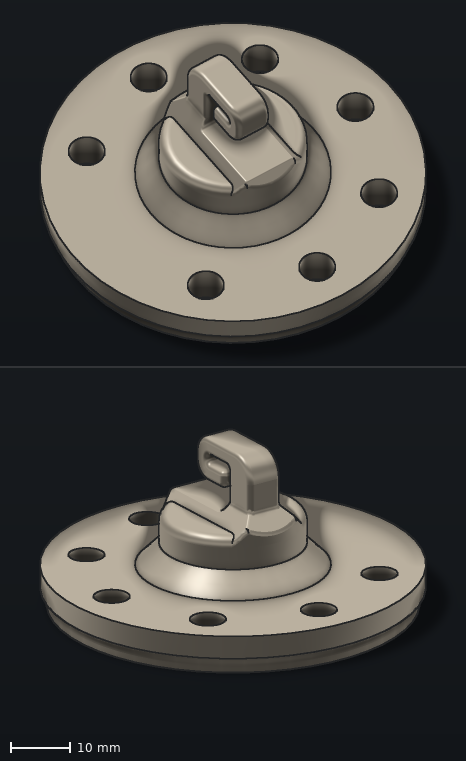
import cadquery as cq
import math

total_height = 29.7

flange_radius = 32.5
flange_thickness = 4.0

spigot_radius = 31.45
spigot_height = 3.0
spigot_blend_radius = 2.0

hole_radius = 3.05
hole_circle_radius = 25.0
hole_positions = 8
undrilled_angle = 270

cap_radius = 12.5
foot_height = 4.0
cap_height = 5.9
cap_edge_radius = 2.0

roof_half_length = 12.35
roof_half_width = 6.25
roof_flat_rise = 1.55
roof_rim_radius = 1.0
roof_edge_radius = 0.5

hook_width = 6.5
hook_left = -9.4
hook_right = 6.4
hook_tip = -1.7
post_thickness = 6.25
bar_thickness = 3.1
slot_height = 1.6
hook_shoulder_radius = 4.7
hook_throat_radius = 1.0
hook_edge_radius = 1.0
post_foot_radius = 1.0

zone_margin = 0.05

flange_top = spigot_height + flange_thickness
foot_top = flange_top + foot_height
cap_top = foot_top + cap_height
roof_base = cap_top - cap_edge_radius
roof_flat = cap_top + roof_flat_rise
post_right = hook_left + post_thickness


def make_base():
    """Revolved spigot, flange, conical foot and round-edged cap."""
    overhang = flange_radius - spigot_radius
    sweep = math.acos(1 - overhang / spigot_blend_radius)
    blend_start = spigot_height - spigot_blend_radius * math.sin(sweep)
    blend_middle = (
        spigot_radius + spigot_blend_radius * (1 - math.cos(sweep / 2)),
        blend_start + spigot_blend_radius * math.sin(sweep / 2),
    )
    profile = (
        cq.Workplane("XZ")
        .lineTo(spigot_radius, 0)
        .lineTo(spigot_radius, blend_start)
        .threePointArc(blend_middle, (flange_radius, spigot_height))
        .lineTo(flange_radius, flange_top)
        .lineTo(cap_radius + foot_height, flange_top)
        .lineTo(cap_radius, foot_top)
        .lineTo(cap_radius, cap_top)
        .lineTo(0, cap_top)
        .close()
    )
    base = profile.revolve(360, (0, 0), (0, 1))
    return base.faces(">Z").edges().fillet(cap_edge_radius)


def make_hips():
    """Sharp-edged hipped roof; it starts inside the cap and runs on inside the post."""
    hidden_half_width = hook_width / 2 - hook_edge_radius
    peak = cap_top + roof_half_width - hidden_half_width
    base_half_length = roof_half_length + cap_edge_radius
    base_half_width = roof_half_width + cap_edge_radius
    return (
        cq.Workplane("XY", origin=(0, 0, roof_base))
        .rect(2 * base_half_length, 2 * base_half_width)
        .extrude(peak - roof_base, taper=45)
    )


def make_flat_clearance():
    """Space above the level part of the roof, blended up to the post."""
    return (
        cq.Workplane("XY", origin=(post_right, 0, roof_flat))
        .box(2 * roof_half_length, 2 * cap_radius, total_height, centered=(False, True, False))
        .edges("<X and <Z")
        .fillet(post_foot_radius)
    )


def make_roof():
    """Hips with a level flat, softened edges and a rounded rim at the cap wall."""
    hips = make_hips()

    cap_column = cq.Workplane("XY").circle(cap_radius).extrude(total_height)
    rimmed = hips.intersect(cap_column).edges("%ELLIPSE").fillet(roof_rim_radius)

    sharp = hips.cut(make_flat_clearance())
    on_flat = cq.selectors.NearestToPointSelector((cap_radius / 2, 0, roof_flat))
    flat_border = sharp.faces(on_flat).edges("not <X")
    hip_edges = sharp.edges("not (#X or #Y or #Z)")
    softened = flat_border.add(hip_edges).fillet(roof_edge_radius)

    return rimmed.intersect(softened)


def make_hook():
    """Upright post whose top bar curls back under itself."""
    bar_under = total_height - bar_thickness
    tip_top = bar_under - slot_height
    tip_bottom = tip_top - bar_thickness
    slot_end = hook_right - bar_thickness - slot_height / 2
    bend_radius = bar_thickness
    outline = (
        cq.Workplane("XZ", origin=(0, hook_width / 2, 0))
        .moveTo(hook_left, roof_base)
        .lineTo(hook_left, total_height - hook_shoulder_radius)
        .tangentArcPoint((hook_shoulder_radius, hook_shoulder_radius))
        .lineTo(hook_right - bend_radius, total_height)
        .tangentArcPoint((bend_radius, -bend_radius))
        .lineTo(hook_right, tip_bottom + bend_radius)
        .tangentArcPoint((-bend_radius, -bend_radius))
        .lineTo(hook_tip + hook_edge_radius, tip_bottom)
        .tangentArcPoint((-hook_edge_radius, hook_edge_radius))
        .lineTo(hook_tip, tip_top - hook_edge_radius)
        .tangentArcPoint((hook_edge_radius, hook_edge_radius))
        .lineTo(slot_end, tip_top)
        .tangentArcPoint((0, slot_height))
        .lineTo(post_right + hook_throat_radius, bar_under)
        .tangentArcPoint((-hook_throat_radius, -hook_throat_radius))
        .lineTo(post_right, roof_base)
        .close()
    )
    hook = outline.extrude(hook_width)
    return hook.faces("<Y or >Y").edges("not <Z").fillet(hook_edge_radius)


def make_hooked_roof():
    """Roof and hook joined, with a blend where the post meets the slopes."""
    joined = make_roof().union(make_hook())
    half_width = hook_width / 2
    foot_level = cap_top + roof_half_width - half_width
    foot_zone = cq.selectors.BoxSelector(
        (hook_left - zone_margin, -half_width - zone_margin, foot_level - zone_margin),
        (post_right - zone_margin, half_width + zone_margin, foot_level + hook_edge_radius),
    )
    return joined.edges(foot_zone).fillet(post_foot_radius)


def make_holes():
    """Cylinders for the bolt holes, leaving out the undrilled position."""
    pitch = 360 // hole_positions
    angles = [angle for angle in range(0, 360, pitch) if angle != undrilled_angle]
    centers = [
        (
            hole_circle_radius * math.cos(math.radians(angle)),
            hole_circle_radius * math.sin(math.radians(angle)),
        )
        for angle in angles
    ]
    return cq.Workplane("XY").pushPoints(centers).circle(hole_radius).extrude(flange_top)


result = make_base().union(make_hooked_roof()).cut(make_holes())